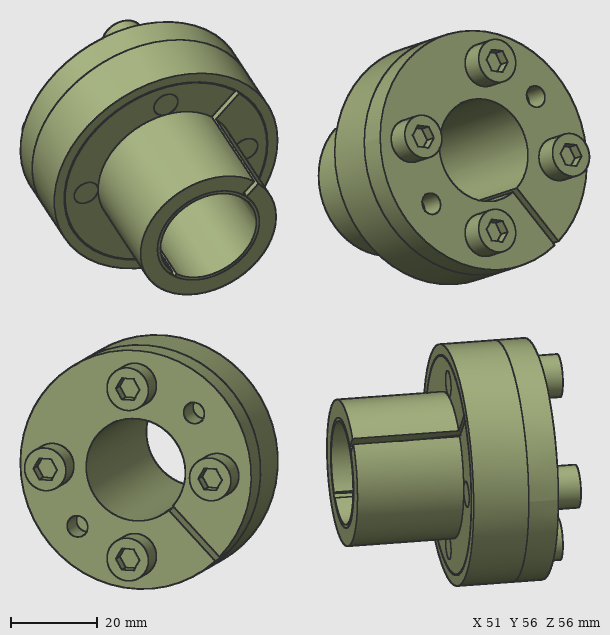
import cadquery as cq
import math

outer_diameter = 56.0
total_length = 51.0
bore_diameter = 24.0

flange_thickness = 7.0
collar_thickness = 13.0
collar_diameter = 50.5
ring_bore_diameter = 51.0
hub_diameter = 34.0
cone_front_diameter = 30.9
cone_rear_diameter = 25.55
slit_width = 1.45

screw_count = 4
bolt_circle_diameter = 40.0
head_diameter = 10.0
head_height = 6.0
shank_diameter = 6.0
socket_across_flats = 5.0
socket_depth = 3.0
socket_sides = 6
jacking_hole_diameter = 5.0

hub_slit_angle = 45
clamp_slit_angle = hub_slit_angle + 180
jacking_hole_angles = [hub_slit_angle + 90, hub_slit_angle - 90]
screw_angles = [i * 360 / screw_count for i in range(screw_count)]

flange_front = head_height
collar_front = flange_front + flange_thickness
collar_rear = collar_front + collar_thickness
rear_end = total_length


def cylinder(diameter, start, end, y=0, z=0):
    """A cylinder along X between two positions on the axis."""
    return cq.Workplane("YZ", origin=(start, y, z)).circle(diameter / 2).extrude(end - start)


def on_bolt_circle(angle):
    """The Y and Z of a point on the bolt circle."""
    radius = bolt_circle_diameter / 2
    return radius * math.cos(math.radians(angle)), radius * math.sin(math.radians(angle))


def cone():
    """The taper shared by the clamping sleeve and the hub that it sits in."""
    return (
        cq.Workplane("YZ", origin=(collar_front, 0, 0))
        .circle(cone_front_diameter / 2)
        .workplane(offset=rear_end - collar_front)
        .circle(cone_rear_diameter / 2)
        .loft(ruled=True)
    )


def slit(angle):
    """A full-length cut from the axis outwards, on one side only."""
    blade = cq.Workplane("XY").box(total_length, outer_diameter, slit_width, centered=(False, False, True))
    return blade.rotate((0, 0, 0), (1, 0, 0), angle)


def shank_holes(start, end):
    """The screw holes through a plate between two positions on the axis."""
    holes = cq.Workplane("YZ")
    for angle in screw_angles:
        holes = holes.add(cylinder(shank_diameter, start, end, *on_bolt_circle(angle)))
    return holes.combine()


def make_clamping_sleeve():
    """Slit sleeve: a flange under the screw heads and a tapered tube."""
    sleeve = cylinder(outer_diameter, flange_front, collar_front).union(cone())
    sleeve = sleeve.cut(cylinder(bore_diameter, flange_front, rear_end))
    sleeve = sleeve.cut(shank_holes(flange_front, collar_front))
    for angle in jacking_hole_angles:
        hole = cylinder(jacking_hole_diameter, flange_front, collar_front, *on_bolt_circle(angle))
        sleeve = sleeve.cut(hole)
    return sleeve.cut(slit(clamp_slit_angle))


def make_hub():
    """Slit hub with a collar that takes the screws and a tapered bore."""
    hub = cylinder(collar_diameter, collar_front, collar_rear)
    hub = hub.union(cylinder(hub_diameter, collar_rear, rear_end))
    hub = hub.cut(cone())
    hub = hub.cut(shank_holes(collar_front, collar_rear))
    return hub.cut(slit(hub_slit_angle))


def make_ring():
    """Closed ring around the hub's collar, with a small clearance."""
    ring = cylinder(outer_diameter, collar_front, collar_rear)
    return ring.cut(cylinder(ring_bore_diameter, collar_front, collar_rear))


def make_screw(angle):
    """Socket-head screw reaching from the flange to the rear of the collar."""
    y, z = on_bolt_circle(angle)
    screw = cylinder(head_diameter, 0, head_height, y, z)
    screw = screw.union(cylinder(shank_diameter, head_height, collar_rear, y, z))
    across_corners = socket_across_flats / math.cos(math.pi / socket_sides)
    hexagon = cq.Workplane("YZ", origin=(0, y, z)).polygon(socket_sides, across_corners)
    socket = hexagon.extrude(socket_depth)
    return screw.cut(socket)


clamping_sleeve = make_clamping_sleeve()
hub = make_hub()
ring = make_ring()
screws = [make_screw(angle).val() for angle in screw_angles]

result = cq.Compound.makeCompound([clamping_sleeve.val(), hub.val(), ring.val(), *screws])